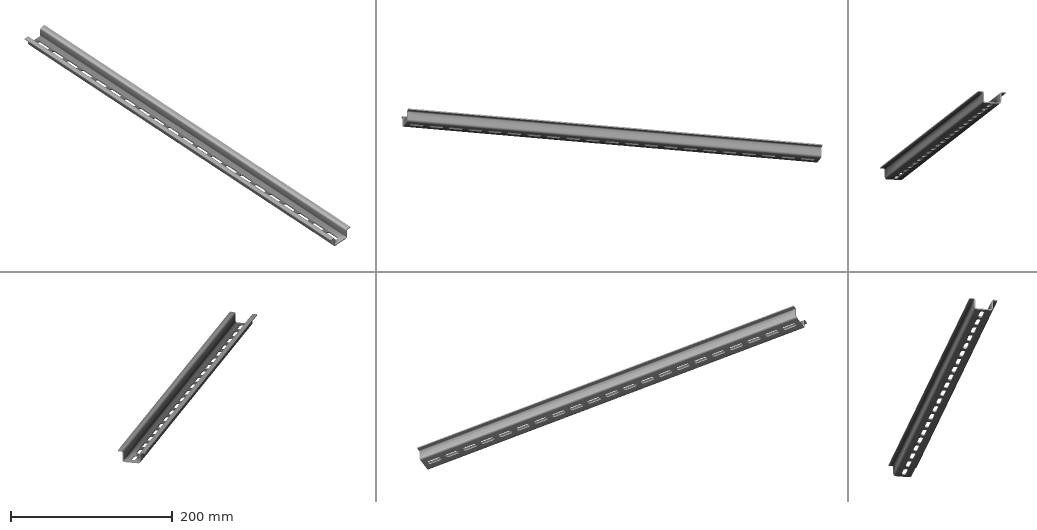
import cadquery as cq

length = 530.0
width = 35.0
height = 15.0

thickness = 1.5
channel_width = 23.5
inner_bend_radius = 1.5
outer_bend_radius = inner_bend_radius + thickness

slot_count = 21
slot_length = 18.0
slot_width = 5.5
end_margin = 6.0
slot_pitch = (length - 2 * end_margin - slot_length) / (slot_count - 1)


def half_rail():
    """The +Y half of the rail: half the floor, one side wall and one flange."""
    wall_outer = channel_width / 2
    wall_inner = wall_outer - thickness
    flange_edge = width / 2
    flange_underside = height - thickness
    section = (
        cq.Workplane("YZ")
        .moveTo(0, 0)
        .lineTo(wall_outer - outer_bend_radius, 0)
        .radiusArc((wall_outer, outer_bend_radius), -outer_bend_radius)
        .lineTo(wall_outer, flange_underside - inner_bend_radius)
        .radiusArc((wall_outer + inner_bend_radius, flange_underside), inner_bend_radius)
        .lineTo(flange_edge, flange_underside)
        .lineTo(flange_edge, height)
        .lineTo(wall_inner + outer_bend_radius, height)
        .radiusArc((wall_inner, height - outer_bend_radius), -outer_bend_radius)
        .lineTo(wall_inner, thickness + inner_bend_radius)
        .radiusArc((wall_inner - inner_bend_radius, thickness), inner_bend_radius)
        .lineTo(0, thickness)
        .close()
    )
    return section.extrude(length / 2, both=True)


def mounting_slots():
    """Round-ended cutters, evenly spaced and centred on the rail."""
    return (
        cq.Workplane("XY")
        .rarray(slot_pitch, 5.5, slot_count, 1)
        .slot2D(slot_length, slot_width)
        .extrude(height)
    )


rail = half_rail().mirror("XZ", union=True).clean()
result = rail.cut(mounting_slots())